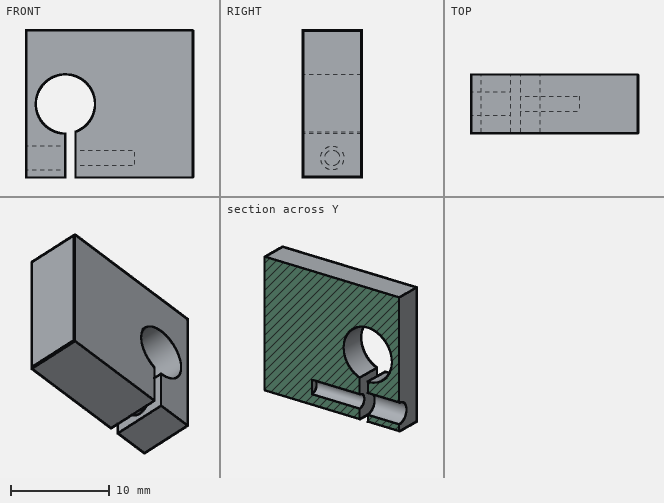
import cadquery as cq

length = 17.0
depth = 6.0
height = 15.0
end_chamfer = 0.1

bore_diameter = 6.0
bore_x = 4.0
bore_z = height / 2

slot_width = 1.0
slot_left = bore_x
slot_right = slot_left + slot_width

screw_y = depth / 2
screw_z = 2.0
clearance_diameter = 2.4
thread_diameter = 1.56
thread_depth = 6.0


def screw_hole(diameter, start_x, hole_length):
    """Cylinder along +X on the clamp screw axis."""
    return cq.Workplane(
        cq.Solid.makeCylinder(
            diameter / 2, hole_length, cq.Vector(start_x, screw_y, screw_z), cq.Vector(1, 0, 0)
        )
    )


block = cq.Workplane("XY").box(length, depth, height, centered=False)
block = block.faces(">X").chamfer(end_chamfer)

bore = cq.Workplane("XZ").center(bore_x, bore_z).circle(bore_diameter / 2).extrude(-depth)

slot = cq.Workplane("XY").box(slot_width, depth, bore_z, centered=False).translate((slot_left, 0, 0))

clearance_hole = screw_hole(clearance_diameter, 0, slot_left)
thread_hole = screw_hole(thread_diameter, slot_right, thread_depth)

result = block.cut(bore).cut(slot).cut(clearance_hole).cut(thread_hole)